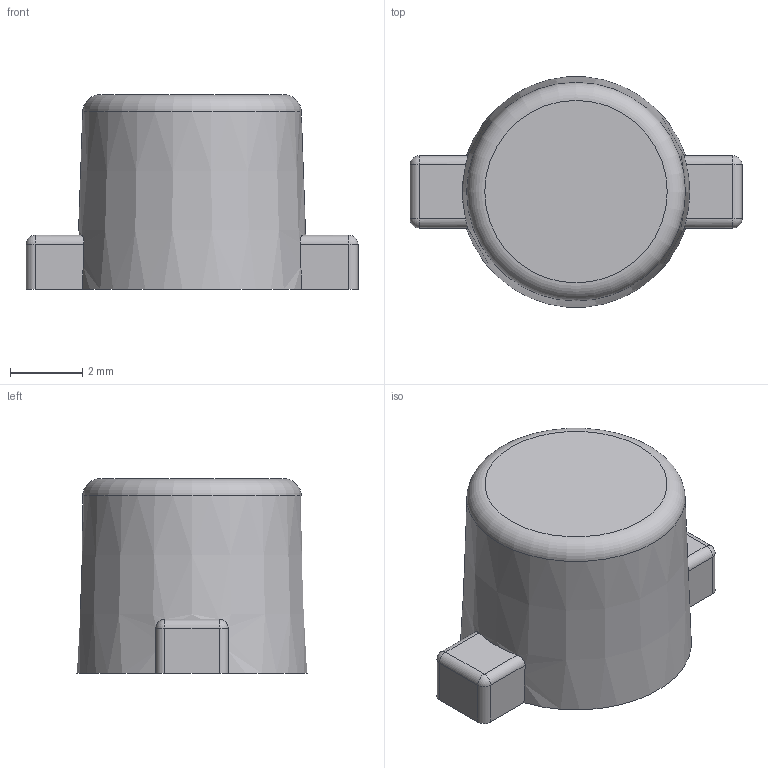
import cadquery as cq
import math

body_height = 5.4
base_radius = 3.2
draft_angle = 2.0
top_radius = base_radius - body_height * math.tan(math.radians(draft_angle))
rim_radius = 0.5

tab_span = 9.2
tab_width = 2.0
tab_height = 1.5
tab_edge_radius = 0.25


def make_body():
    """Drafted solid of revolution with the top edge rounded."""
    profile = (
        cq.Workplane("XZ")
        .lineTo(base_radius, 0)
        .lineTo(top_radius, body_height)
        .lineTo(0, body_height)
        .close()
    )
    cone = profile.revolve(360, (0, 0, 0), (0, 1, 0))
    return cone.faces(">Z").edges().fillet(rim_radius)


def make_tab_bar():
    """Bar through the body whose two ends form the tabs; only its base edges stay sharp."""
    bar = cq.Workplane("XY").box(tab_span, tab_width, tab_height, centered=(True, True, False))
    return bar.edges("|Z or >Z").fillet(tab_edge_radius)


result = make_body().union(make_tab_bar())